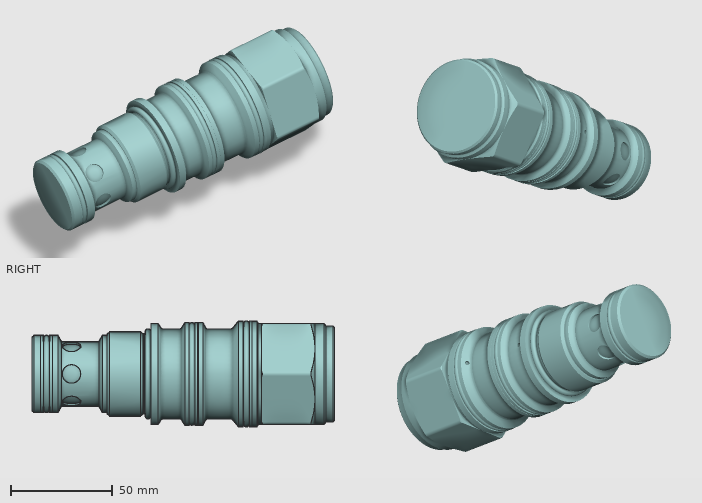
import cadquery as cq
import math

length = 149.8

cap_radius = 23.8
cap_chamfer = 0.9
cap_base_y = 145.5
collar_radius = 25.0
collar_top_y = 144.5

hex_flats = 2 * collar_radius
hex_corner_fillet = 2.2
hex_top_y = 140.0
hex_bottom_y = 113.5
hex_bottom_chamfer = 0.5
hex_top_chamfer_angle = 30.0
half_corner_angle = math.radians(30)
hex_sharp_radius = hex_flats / 2 / math.cos(half_corner_angle)
hex_corner_radius = hex_sharp_radius - hex_corner_fillet * (1 / math.cos(half_corner_angle) - 1)

barrel_radius = 22.3

ring_section = 2.8
ring_section_radius = ring_section / 2
backup_width = 1.3

upper_shoulder_diameter = 52.6
upper_shoulder_step = 0.1
upper_shoulder_radius = upper_shoulder_diameter / 2
upper_radius = upper_shoulder_radius - upper_shoulder_step
upper_top_y = 111.9
upper_chamfer = 0.6
upper_shoulder_y = 108.9
upper_groove_top_y = 107.5
upper_groove_bottom_y = 104.5
upper_land_bottom_y = 102.2
upper_taper_angle = 50.0
upper_taper_length = (upper_radius - barrel_radius) / math.tan(math.radians(upper_taper_angle))
upper_taper_end_y = upper_land_bottom_y - upper_taper_length
upper_root_fillet = 1.2

middle_radius = 25.5
middle_taper_start_y = 86.3
middle_top_y = 84.6
middle_relief_top_y = 82.4
middle_relief_width = 0.5
middle_relief_depth = 0.1
middle_groove_top_y = 80.6
middle_groove_bottom_y = middle_groove_top_y - ring_section
middle_bottom_y = 75.7
middle_taper_end_y = 73.7
middle_upper_root_fillet = 0.9
middle_lower_root_fillet = 0.7

flange_taper_start_y = 64.3
flange_top_y = 62.5
flange_bottom_y = 58.9
flange_root_fillet = 0.9
neck_radius = barrel_radius - ring_section
neck_bottom_y = 55.6
lip_radius = 19.9
lip_bottom_y = 55.0

sleeve_radius = 21.0
sleeve_top_y = 53.6
sleeve_bottom_y = 38.5
sleeve_chamfer = 1.2
step_radius = 19.2
step_bottom_y = 34.9

cage_radius = 16.0
cage_top_y = 33.1
cage_bottom_y = 14.7
nose_radius = step_radius
nose_top_y = 12.9
nose_groove_top_y = 10.2
nose_groove_bottom_y = 4.3
nose_chamfer = 1.0

port_count = 6
port_diameter = 9.1
port_y = 19.6
port_floor_radius = 15.0
pilot_diameter = 2.2
pilot_depth = 1.5
barrel_pilot_y = 66.0
taper_pilot_y = 100.2


def ring(outer_radius, inner_radius, bottom_y, top_y):
    """Flat ring around the Y axis."""
    base = cq.Workplane("XZ", origin=(0, bottom_y, 0))
    return base.circle(outer_radius).circle(inner_radius).extrude(bottom_y - top_y)


def turn(outline):
    """Revolve a closed outline of (radius, y) points about the Y axis."""
    return cq.Workplane("XY").polyline(outline).close().revolve(360, (0, 0, 0), (0, 1, 0))


def turned_core():
    """Turned shape without the hexagon, root fillets, grooves and holes."""
    return turn([
        (0, 0),
        (nose_radius - nose_chamfer, 0),
        (nose_radius, nose_chamfer),
        (nose_radius, nose_top_y),
        (cage_radius, cage_bottom_y),
        (cage_radius, cage_top_y),
        (step_radius, step_bottom_y),
        (step_radius, sleeve_bottom_y - sleeve_chamfer),
        (sleeve_radius - sleeve_chamfer, sleeve_bottom_y - sleeve_chamfer),
        (sleeve_radius, sleeve_bottom_y),
        (sleeve_radius, sleeve_top_y),
        (lip_radius, lip_bottom_y),
        (lip_radius, neck_bottom_y),
        (neck_radius, neck_bottom_y),
        (neck_radius, flange_bottom_y),
        (collar_radius, flange_bottom_y),
        (collar_radius, flange_top_y),
        (barrel_radius, flange_taper_start_y),
        (barrel_radius, middle_taper_end_y),
        (middle_radius, middle_bottom_y),
        (middle_radius, middle_top_y),
        (barrel_radius, middle_taper_start_y),
        (barrel_radius, upper_taper_end_y),
        (upper_radius, upper_land_bottom_y),
        (upper_radius, upper_groove_top_y),
        (upper_shoulder_radius, upper_groove_top_y),
        (upper_shoulder_radius, upper_shoulder_y),
        (upper_radius, upper_shoulder_y),
        (upper_radius, upper_top_y - upper_chamfer),
        (upper_radius - upper_chamfer, upper_top_y),
        (collar_radius, upper_top_y),
        (collar_radius, collar_top_y),
        (cap_radius, cap_base_y),
        (cap_radius, length - cap_chamfer),
        (cap_radius - cap_chamfer, length),
        (0, length),
    ])


def fillet_root(body, y, radius):
    """Round the circular corner where a taper meets the barrel at station y."""
    reach = 2 * barrel_radius
    slack = radius / 10
    corner = cq.selectors.BoxSelector((-reach, y - slack, -reach), (reach, y + slack, reach))
    return body.edges(corner).edges("%CIRCLE").fillet(radius)


def hexagon():
    """Wrench hexagon with corners on +X and -X and turned end chamfers."""
    prism = (
        cq.Workplane("XZ", origin=(0, hex_bottom_y, 0))
        .polygon(6, 2 * hex_sharp_radius)
        .extrude(hex_bottom_y - hex_top_y)
        .edges("|Y")
        .fillet(hex_corner_fillet)
    )
    top_chamfer_width = hex_corner_radius - collar_radius
    top_chamfer_height = top_chamfer_width * math.tan(math.radians(hex_top_chamfer_angle))
    clearance = hex_sharp_radius - hex_corner_radius
    clearance_height = clearance * math.tan(math.radians(hex_top_chamfer_angle))
    envelope = turn([
        (0, hex_bottom_y),
        (hex_corner_radius - hex_bottom_chamfer, hex_bottom_y),
        (hex_sharp_radius, hex_bottom_y + hex_bottom_chamfer + clearance),
        (hex_sharp_radius, hex_top_y - top_chamfer_height - clearance_height),
        (collar_radius, hex_top_y),
        (0, hex_top_y),
    ])
    return prism.intersect(envelope)


def seal_grooves():
    """Cutters for the three seal grooves and the relief line on the middle land."""
    clear_radius = 2 * upper_radius
    middle_relief_bottom_y = middle_relief_top_y - middle_relief_width
    middle_relief_radius = middle_radius - middle_relief_depth
    return [
        ring(clear_radius, upper_shoulder_radius - ring_section, upper_groove_bottom_y, upper_groove_top_y),
        ring(clear_radius, middle_relief_radius, middle_relief_bottom_y, middle_relief_top_y),
        ring(clear_radius, middle_radius - ring_section, middle_groove_bottom_y, middle_groove_top_y),
        ring(clear_radius, nose_radius - ring_section, nose_groove_bottom_y, nose_groove_top_y),
    ]


def cage_ports():
    """Cutters for the shallow round ports, whose floors follow one inner cylinder."""
    depth_band = ring(nose_radius, port_floor_radius, cage_bottom_y, cage_top_y)
    drill = cq.Workplane("YZ", origin=(0, port_y, 0)).circle(port_diameter / 2).extrude(nose_radius)
    port = drill.intersect(depth_band)
    return [
        port.rotate((0, 0, 0), (0, 1, 0), index * 360 / port_count)
        for index in range(port_count)
    ]


def pilot_hole(surface_radius, y, tilt):
    """Cutter for a blind hole on the -X side, entered square to a surface tilted by this angle."""
    inward = cq.Vector(math.cos(tilt), math.sin(tilt), 0)
    start = cq.Vector(-surface_radius, y, 0) - inward * pilot_depth
    drill = cq.Solid.makeCylinder(pilot_diameter / 2, 2 * pilot_depth, start, inward)
    return cq.Workplane(drill)


def pilot_holes():
    """One hole in the barrel above the flange and one in the taper of the upper land."""
    taper_slope = (upper_radius - barrel_radius) / upper_taper_length
    taper_radius = upper_radius - taper_slope * (upper_land_bottom_y - taper_pilot_y)
    return [
        pilot_hole(barrel_radius, barrel_pilot_y, 0),
        pilot_hole(taper_radius, taper_pilot_y, math.atan(taper_slope)),
    ]


def make_valve_body():
    body = turned_core()
    body = fillet_root(body, flange_taper_start_y, flange_root_fillet)
    body = fillet_root(body, middle_taper_end_y, middle_lower_root_fillet)
    body = fillet_root(body, middle_taper_start_y, middle_upper_root_fillet)
    body = fillet_root(body, upper_taper_end_y, upper_root_fillet)
    body = body.union(hexagon())
    for cutter in seal_grooves() + cage_ports() + pilot_holes():
        body = body.cut(cutter)
    return body.solids()


def make_o_ring(outer_radius, center_y):
    """Round-section seal around the Y axis."""
    center_radius = outer_radius - ring_section_radius
    center = cq.Vector(0, center_y, 0)
    axis = cq.Vector(0, 1, 0)
    return cq.Workplane(cq.Solid.makeTorus(center_radius, ring_section_radius, center, axis))


def make_backup_ring(bottom_y):
    """Flat ring that fills one side of the nose groove."""
    return ring(nose_radius, nose_radius - ring_section, bottom_y, bottom_y + backup_width)


valve_body = make_valve_body()

o_ring_places = [
    (upper_shoulder_radius, upper_groove_top_y - ring_section_radius),
    (middle_radius, middle_groove_top_y - ring_section_radius),
    (barrel_radius, flange_bottom_y - ring_section_radius),
    (nose_radius, (nose_groove_top_y + nose_groove_bottom_y) / 2),
]
o_rings = [make_o_ring(outer_radius, center_y) for outer_radius, center_y in o_ring_places]

backup_ring_places = [nose_groove_bottom_y, nose_groove_top_y - backup_width]
backup_rings = [make_backup_ring(bottom_y) for bottom_y in backup_ring_places]

result = cq.Compound.makeCompound([
    valve_body.val(),
    *[o_ring.val() for o_ring in o_rings],
    *[backup_ring.val() for backup_ring in backup_rings],
])